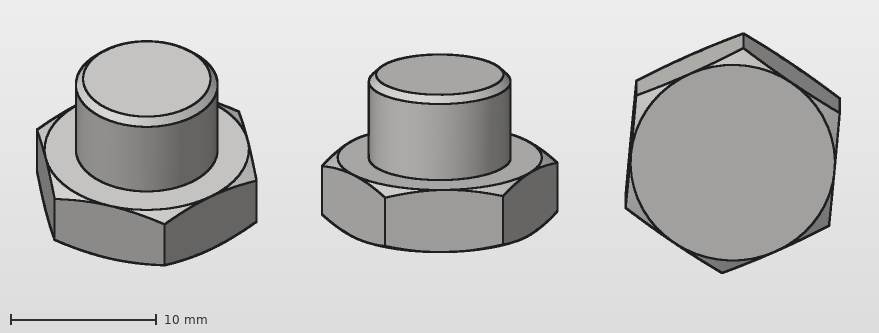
import cadquery as cq
import math

across_corners = 16.17
across_flats = across_corners * math.cos(math.radians(30))
head_height = 4.5
corner_drop = 0.5

shank_diameter = 9.73
shank_length = 6.0
shank_chamfer = 0.5


def hexagon_head():
    """Hexagonal prism with corners on the Y axis, its corners turned conical at both ends."""
    prism = (
        cq.Workplane("XY")
        .polygon(6, across_corners)
        .extrude(head_height)
        .rotate((0, 0, 0), (0, 0, 1), 90)
    )
    flat_radius = across_flats / 2
    corner_radius = across_corners / 2
    turned_blank = (
        cq.Workplane("XZ")
        .moveTo(0, 0)
        .lineTo(flat_radius, 0)
        .lineTo(corner_radius, corner_drop)
        .lineTo(corner_radius, head_height - corner_drop)
        .lineTo(flat_radius, head_height)
        .lineTo(0, head_height)
        .close()
        .revolve(360, (0, 0, 0), (0, 1, 0))
    )
    return prism.intersect(turned_blank)


def shank():
    """Plain cylinder standing on the head, chamfered at its free end."""
    return (
        cq.Workplane("XY")
        .workplane(offset=head_height)
        .circle(shank_diameter / 2)
        .extrude(shank_length)
        .faces(">Z")
        .chamfer(shank_chamfer)
    )


result = hexagon_head().union(shank())